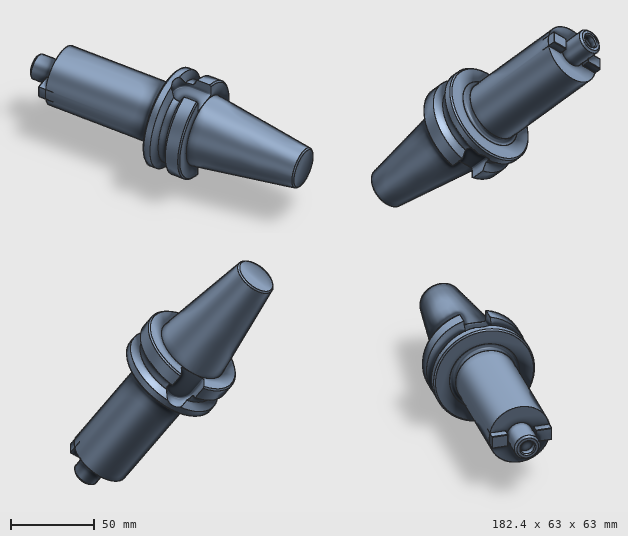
import cadquery as cq
import math

total_length = 182.4
shoulder_x = 17.0
flange_front_x = 90.0
groove_centre_x = 100.3
flange_rear_x = 115.0
gauge_x = 117.0

spigot_diameter = 16.0
body_diameter = 38.0
neck_diameter = 37.8
pad_diameter = 43.6
flange_diameter = 63.0
groove_diameter = 53.0
gauge_diameter = 44.5

taper_ratio = 7 / 24
taper_tip_chamfer = 1.0
groove_floor_width = 4.7
groove_half_angle = 30.0
flange_chamfer = 1.0
neck_fillet = 2.0
neck_length = 1.1
pad_height = 0.2

spigot_chamfer = 1.3
bore_diameter = 8.5
bore_mouth_diameter = 10.0
bore_depth = 4.5

key_width = 8.0
key_projection = 5.0
key_embedding = 5.1
key_inner_y = 8.8
key_outer_y = 18.6
key_chamfer = 0.4

slot_width = 16.5
slot_tip_x = 93.8
slot_floor_z = 22.5
slot_floor_fillet = 1.0


def turned_blank():
    """Spigot, body, flange with V groove and taper as one revolved profile."""
    spigot_r = spigot_diameter / 2
    body_r = body_diameter / 2
    neck_r = neck_diameter / 2
    flange_r = flange_diameter / 2
    groove_r = groove_diameter / 2

    pad_x = flange_front_x - pad_height
    fillet_start_x = pad_x - neck_fillet
    fillet_mid = neck_fillet * (1 - math.sqrt(0.5))
    floor_half = groove_floor_width / 2
    mouth_half = floor_half + (flange_r - groove_r) * math.tan(math.radians(groove_half_angle))

    def taper_radius(x):
        return (gauge_diameter - (x - gauge_x) * taper_ratio) / 2

    tip_x = total_length - taper_tip_chamfer
    profile = (
        cq.Workplane("XY")
        .moveTo(0, 0)
        .lineTo(0, spigot_r - spigot_chamfer)
        .lineTo(spigot_chamfer, spigot_r)
        .lineTo(shoulder_x, spigot_r)
        .lineTo(shoulder_x, body_r)
        .lineTo(fillet_start_x - neck_length, body_r)
        .lineTo(fillet_start_x - neck_length, neck_r)
        .lineTo(fillet_start_x, neck_r)
        .threePointArc(
            (pad_x - fillet_mid, neck_r + fillet_mid),
            (pad_x, neck_r + neck_fillet),
        )
        .lineTo(pad_x, pad_diameter / 2)
        .lineTo(flange_front_x, pad_diameter / 2)
        .lineTo(flange_front_x, flange_r - flange_chamfer)
        .lineTo(flange_front_x + flange_chamfer, flange_r)
        .lineTo(groove_centre_x - mouth_half, flange_r)
        .lineTo(groove_centre_x - floor_half, groove_r)
        .lineTo(groove_centre_x + floor_half, groove_r)
        .lineTo(groove_centre_x + mouth_half, flange_r)
        .lineTo(flange_rear_x - flange_chamfer, flange_r)
        .lineTo(flange_rear_x, flange_r - flange_chamfer)
        .lineTo(flange_rear_x, taper_radius(flange_rear_x))
        .lineTo(tip_x, taper_radius(tip_x))
        .lineTo(total_length, taper_radius(tip_x) - taper_tip_chamfer)
        .lineTo(total_length, 0)
        .close()
    )
    return profile.revolve(360, (0, 0, 0), (1, 0, 0))


def spigot_bore():
    """Blind bore in the spigot with a countersunk mouth."""
    bore_r = bore_diameter / 2
    mouth_r = bore_mouth_diameter / 2
    return (
        cq.Workplane("XY")
        .moveTo(0, 0)
        .lineTo(0, mouth_r)
        .lineTo(mouth_r - bore_r, bore_r)
        .lineTo(bore_depth, bore_r)
        .lineTo(bore_depth, 0)
        .close()
        .revolve(360, (0, 0, 0), (1, 0, 0))
    )


def driving_key():
    """Rectangular key on the +Y side, partly sunk into the body end."""
    length = key_projection + key_embedding
    return (
        cq.Workplane("XY")
        .box(length, key_outer_y - key_inner_y, key_width, centered=(False, False, True))
        .translate((shoulder_x - key_projection, key_inner_y, 0))
        .faces("<X")
        .edges()
        .chamfer(key_chamfer)
    )


def drive_slot():
    """Round-ended slot on the +Z side, open towards the taper."""
    half = slot_width / 2
    arc_x = slot_tip_x + half
    return (
        cq.Workplane("XY")
        .workplane(offset=slot_floor_z)
        .moveTo(flange_rear_x, half)
        .lineTo(arc_x, half)
        .threePointArc((slot_tip_x, 0), (arc_x, -half))
        .lineTo(flange_rear_x, -half)
        .close()
        .extrude(flange_diameter / 2)
        .faces("<Z")
        .edges("not >X")
        .fillet(slot_floor_fillet)
    )


result = turned_blank()
for angle in (0, 180):
    result = result.union(driving_key().rotate((0, 0, 0), (1, 0, 0), angle))
    result = result.cut(drive_slot().rotate((0, 0, 0), (1, 0, 0), angle))
result = result.cut(spigot_bore())